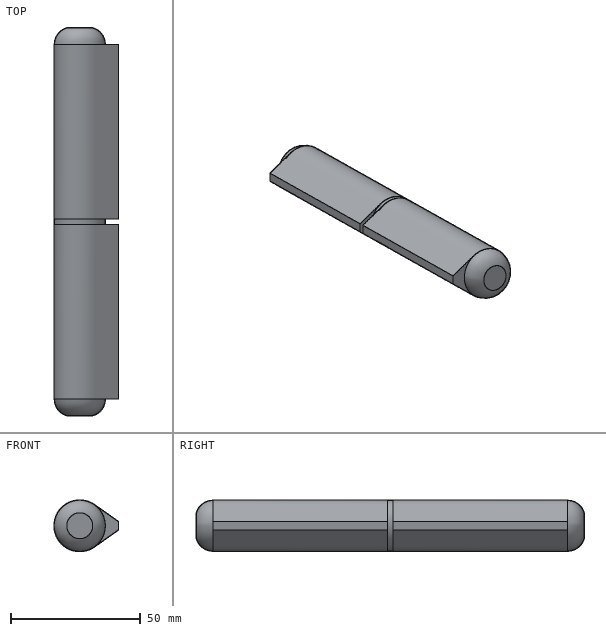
import cadquery as cq
import math

total_length = 150.0
barrel_diameter = total_length * 2 / 15
washer_diameter = 19.8
washer_thickness = barrel_diameter / 10
cap_length = 6.5
cap_base_diameter = washer_diameter
cap_end_diameter = barrel_diameter / 2
wing_reach = barrel_diameter * 3 / 4
wing_tip_height = 3.3

barrel_radius = barrel_diameter / 2
barrel_outer_end = total_length / 2 - cap_length
barrel_inner_end = washer_thickness / 2
barrel_length = barrel_outer_end - barrel_inner_end


def barrel(start_y):
    """Round barrel whose wing runs tangentially from the round to a blunt tip on +X."""
    tip_half = wing_tip_height / 2
    tip_distance = math.hypot(wing_reach, tip_half)
    tangent_angle = math.atan2(tip_half, wing_reach) + math.acos(barrel_radius / tip_distance)
    tangent_x = barrel_radius * math.cos(tangent_angle)
    tangent_z = barrel_radius * math.sin(tangent_angle)
    return (
        cq.Workplane("XZ", origin=(0, start_y, 0))
        .moveTo(tangent_x, tangent_z)
        .threePointArc((-barrel_radius, 0), (tangent_x, -tangent_z))
        .lineTo(wing_reach, -tip_half)
        .lineTo(wing_reach, tip_half)
        .close()
        .extrude(-barrel_length)
    )


def washer():
    """Spacer disc, slightly smaller than the barrels."""
    return (
        cq.Workplane("XZ", origin=(0, -washer_thickness / 2, 0))
        .circle(washer_diameter / 2)
        .extrude(-washer_thickness)
    )


def end_cap():
    """Rounded cap on the +Y end; its side leaves the barrel parallel to the axis."""
    base_radius = cap_base_diameter / 2
    end_radius = cap_end_diameter / 2
    radial_drop = base_radius - end_radius
    round_radius = (cap_length**2 + radial_drop**2) / (2 * radial_drop)
    half_sweep = math.asin(cap_length / round_radius) / 2
    arc_middle = (
        base_radius - round_radius * (1 - math.cos(half_sweep)),
        barrel_outer_end + round_radius * math.sin(half_sweep),
    )
    return (
        cq.Workplane("XY")
        .moveTo(0, barrel_outer_end)
        .lineTo(base_radius, barrel_outer_end)
        .threePointArc(arc_middle, (end_radius, total_length / 2))
        .lineTo(0, total_length / 2)
        .close()
        .revolve(360, (0, 0, 0), (0, 1, 0))
    )


result = washer()
for barrel_start in (-barrel_outer_end, barrel_inner_end):
    result = result.union(barrel(barrel_start))
cap = end_cap()
result = result.union(cap).union(cap.mirror("XZ"))